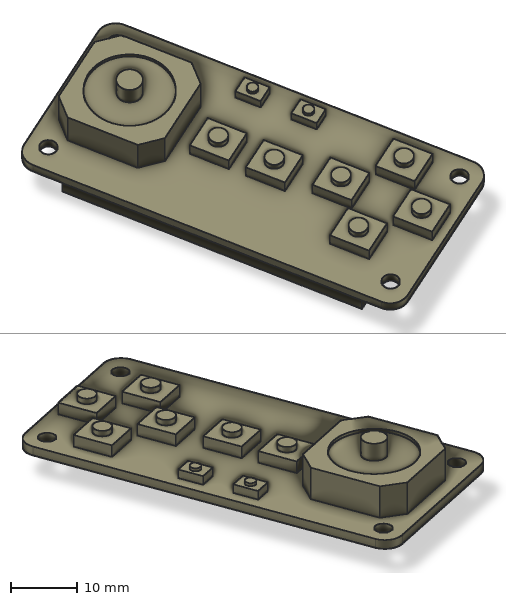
import cadquery as cq

BOARD_LENGTH = 65
BOARD_WIDTH = 30.7
BOARD_THICKNESS = 1.55
CORNER_RADIUS = 3.0
HOLE_DIAMETER = 2.8
HOLE_SPACING_X = 58.0
HOLE_SPACING_Y = 23.0
BOARD_CENTER_Y = -0.3

HEADER_LENGTH = 50.75
HEADER_WIDTH = 5.0
HEADER_HEIGHT = 4.3
HEADER_Y = -HOLE_SPACING_Y / 2

JOYSTICK_X = -21.05
JOYSTICK_SIDE = 18.0
JOYSTICK_HEIGHT = 5.45
JOYSTICK_CHAMFER = 3.05
RECESS_DIAMETER = 14.0
RECESS_DEPTH = 0.5
STICK_DIAMETER = 4.0
STICK_PROJECTION = 2.5

BUTTON_LENGTH = 6.6
BUTTON_WIDTH = 6.0
BUTTON_HEIGHT = 2.0
BUTTON_CAP_DIAMETER = 3.0
BUTTON_CAP_HEIGHT = 1.0

SMALL_BUTTON_LENGTH = 4.3
SMALL_BUTTON_WIDTH = 3.05
SMALL_BUTTON_HEIGHT = 1.5
SMALL_CAP_DIAMETER = 1.75
SMALL_CAP_HEIGHT = 0.5

COLUMNS_X = (-6.05, 3.45)
SMALL_BUTTON_Y = 11.45
PAD_X = 20.8
PAD_Y = 1.5
PAD_OFFSET_X = 6.8
PAD_OFFSET_Y = 7.6


def make_board():
    """Rounded plate with four mounting holes."""
    plate = (
        cq.Workplane("XY")
        .center(0, BOARD_CENTER_Y)
        .rect(BOARD_LENGTH, BOARD_WIDTH)
        .extrude(-BOARD_THICKNESS)
        .edges("|Z")
        .fillet(CORNER_RADIUS)
    )
    holes = (
        cq.Workplane("XY")
        .rect(HOLE_SPACING_X, HOLE_SPACING_Y, forConstruction=True)
        .vertices()
        .circle(HOLE_DIAMETER / 2)
        .extrude(-BOARD_THICKNESS)
    )
    return plate.cut(holes)


def make_header():
    """Plain rectangular block hanging from the underside."""
    return (
        cq.Workplane("XY", origin=(0, HEADER_Y, -BOARD_THICKNESS))
        .rect(HEADER_LENGTH, HEADER_WIDTH)
        .extrude(-HEADER_HEIGHT)
    )


def make_joystick():
    """Square housing with cut corners, a shallow round recess and a stick."""
    base = cq.Workplane("XY", origin=(JOYSTICK_X, 0, 0))
    housing = base.rect(JOYSTICK_SIDE, JOYSTICK_SIDE).extrude(JOYSTICK_HEIGHT)
    housing = housing.edges("|Z").chamfer(JOYSTICK_CHAMFER)
    floor = base.workplane(offset=JOYSTICK_HEIGHT - RECESS_DEPTH)
    recess = floor.circle(RECESS_DIAMETER / 2).extrude(RECESS_DEPTH)
    stick = floor.circle(STICK_DIAMETER / 2).extrude(RECESS_DEPTH + STICK_PROJECTION)
    return housing.cut(recess).union(stick)


def make_button(x, y, length, width, height, cap_diameter, cap_height):
    """Rectangular button body with a round cap on top."""
    base = cq.Workplane("XY", origin=(x, y, 0))
    body = base.rect(length, width).extrude(height)
    cap = base.workplane(offset=height).circle(cap_diameter / 2).extrude(cap_height)
    return body.union(cap)


def make_large_button(x, y):
    return make_button(
        x, y, BUTTON_LENGTH, BUTTON_WIDTH, BUTTON_HEIGHT, BUTTON_CAP_DIAMETER, BUTTON_CAP_HEIGHT
    )


def make_small_button(x, y):
    return make_button(
        x, y, SMALL_BUTTON_LENGTH, SMALL_BUTTON_WIDTH, SMALL_BUTTON_HEIGHT,
        SMALL_CAP_DIAMETER, SMALL_CAP_HEIGHT,
    )


result = make_board().union(make_header()).union(make_joystick())

for column_x in COLUMNS_X:
    result = result.union(make_large_button(column_x, 0))
    result = result.union(make_small_button(column_x, SMALL_BUTTON_Y))

for side in (-1, 1):
    result = result.union(make_large_button(PAD_X + side * PAD_OFFSET_X, PAD_Y))
    result = result.union(make_large_button(PAD_X, PAD_Y + side * PAD_OFFSET_Y))